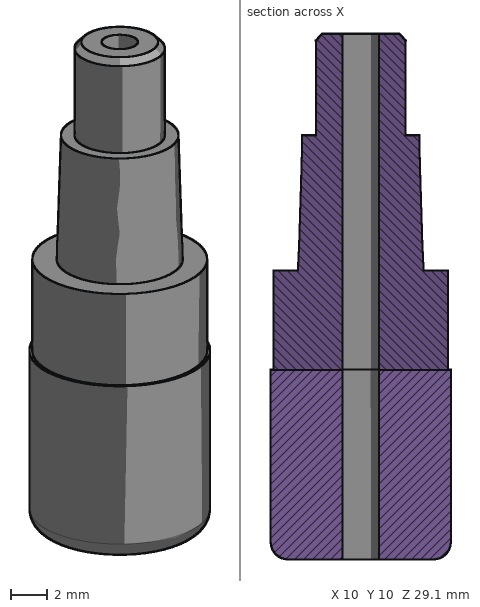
import cadquery as cq

total_height = 29.1
base_top = 10.5
collar_top = 16.0
taper_top = 23.48

base_diameter = 10.0
collar_diameter = 9.7
taper_bottom_diameter = 6.98
taper_top_diameter = 6.52
tip_diameter = 5.0
bore_diameter = 2.0

base_edge_radius = 1.0
tip_chamfer = 0.38


def make_base():
    """Cylindrical base with a rounded bottom edge and a through bore."""
    base = cq.Workplane("XY").circle(base_diameter / 2).extrude(base_top)
    base = base.faces("<Z").edges().fillet(base_edge_radius)
    return base.faces(">Z").workplane().hole(bore_diameter)


def make_stem():
    """Bored stem of a collar, a tapered section and a chamfered tip, standing on the base."""
    bore_radius = bore_diameter / 2
    collar_radius = collar_diameter / 2
    tip_radius = tip_diameter / 2
    half_section = (
        cq.Workplane("XZ")
        .moveTo(bore_radius, base_top)
        .lineTo(collar_radius, base_top)
        .lineTo(collar_radius, collar_top)
        .lineTo(taper_bottom_diameter / 2, collar_top)
        .lineTo(taper_top_diameter / 2, taper_top)
        .lineTo(tip_radius, taper_top)
        .lineTo(tip_radius, total_height - tip_chamfer)
        .lineTo(tip_radius - tip_chamfer, total_height)
        .lineTo(bore_radius, total_height)
        .close()
    )
    return half_section.revolve(360, (0, 0, 0), (0, 1, 0))


base = make_base()
stem = make_stem()

result = cq.Compound.makeCompound([base.val(), stem.val()])